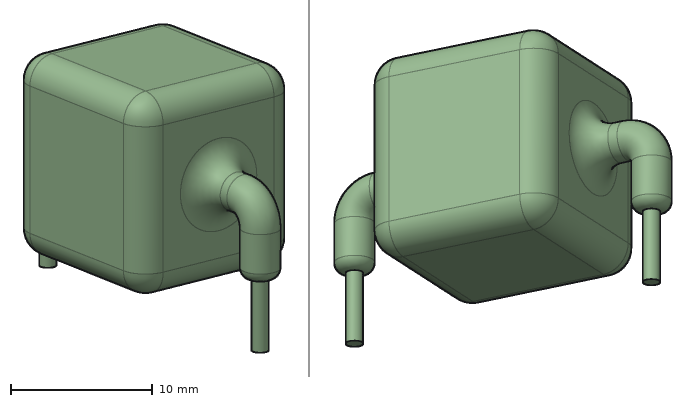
import cadquery as cq

BODY_X = 14.63
BODY_Y = 14.0
BODY_Z = 14.99
EDGE_RADIUS = 2.0

OVERALL_X = 27.05
ARM_DIAMETER = 2.9
FLARE_RADIUS = EDGE_RADIUS
BEND_RADIUS = 2.0
ARM_TIP_Z = -5.75
TIP_FILLET = 0.8

PIN_DIAMETER = 1.25
OVERALL_Z = 18.6

ARM_RADIUS = ARM_DIAMETER / 2
FACE_X = BODY_X / 2
PIN_X = OVERALL_X / 2 - ARM_RADIUS
BEND_START_X = PIN_X - BEND_RADIUS
PIN_BOTTOM_Z = BODY_Z / 2 - OVERALL_Z
PIN_LENGTH = ARM_TIP_Z - PIN_BOTTOM_Z


def make_block():
    """Box with every edge rounded."""
    return cq.Workplane("XY").box(BODY_X, BODY_Y, BODY_Z).edges().fillet(EDGE_RADIUS)


def make_flare(side):
    """Trumpet-shaped transition from the block face to the arm."""
    flare_end_x = FACE_X + FLARE_RADIUS
    base_radius = ARM_RADIUS + FLARE_RADIUS
    arc_center = cq.Vector(flare_end_x, base_radius)
    arc_middle = arc_center + cq.Vector(-1, -1).normalized() * FLARE_RADIUS
    return (
        cq.Workplane("XY")
        .moveTo(side * FACE_X, 0)
        .lineTo(side * FACE_X, base_radius)
        .threePointArc((side * arc_middle.x, arc_middle.y), (side * flare_end_x, ARM_RADIUS))
        .lineTo(side * flare_end_x, 0)
        .close()
        .revolve(360, (0, 0), (1, 0))
    )


def make_arm(side):
    """Round arm: straight out of the block, a quarter bend, then straight down."""
    bend_middle = cq.Vector(BEND_START_X, -BEND_RADIUS) + cq.Vector(1, 1).normalized() * BEND_RADIUS
    path = (
        cq.Workplane("XZ")
        .moveTo(side * FACE_X, 0)
        .lineTo(side * BEND_START_X, 0)
        .threePointArc((side * bend_middle.x, bend_middle.y), (side * PIN_X, -BEND_RADIUS))
        .lineTo(side * PIN_X, ARM_TIP_Z)
    )
    arm = cq.Workplane("YZ", origin=(side * FACE_X, 0, 0)).circle(ARM_RADIUS).sweep(path)
    return arm.faces("<Z").edges().fillet(TIP_FILLET)


def make_housing():
    """Block and both flared arms as one solid."""
    housing = make_block()
    for side in (-1, 1):
        housing = housing.union(make_flare(side)).union(make_arm(side))
    return housing


def make_pin(side):
    """Straight round wire that meets the flat end of an arm."""
    return (
        cq.Workplane("XY", origin=(side * PIN_X, 0, PIN_BOTTOM_Z))
        .circle(PIN_DIAMETER / 2)
        .extrude(PIN_LENGTH)
    )


housing = make_housing()
pins = [make_pin(side).val() for side in (-1, 1)]

result = cq.Compound.makeCompound([housing.val(), *pins])